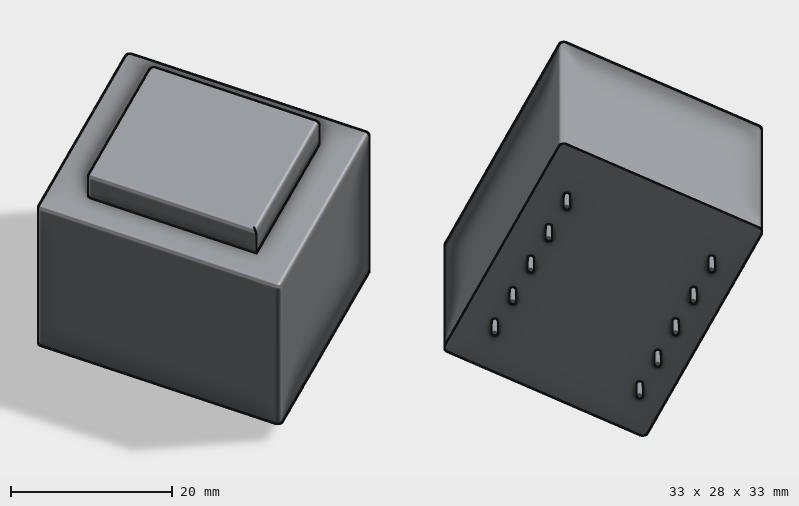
import cadquery as cq


total_height = 33.0
housing_length = 33.0
housing_width = 28.02
cap_length = 23.0
cap_width = 20.0
cap_height = 4.0
edge_radius = 0.7

pin_diameter = 0.8
pin_length = 3.0
pins_per_row = 5
row_length = 20.0
row_spacing = 20.0
pin_tip_radius = 0.1

housing_height = total_height - cap_height - pin_length
pin_pitch = row_length / (pins_per_row - 1)
pin_overlap = pin_diameter


def make_housing():
    """Block with rounded upright and top edges and a sharp-edged flat base."""
    block = cq.Workplane("XY").box(
        housing_length, housing_width, housing_height, centered=(True, True, False)
    )
    return block.edges("|Z or >Z").fillet(edge_radius)


def make_cap():
    """Raised cap whose upright edge at the +X, -Y corner is left sharp."""
    block = (
        cq.Workplane("XY")
        .workplane(offset=housing_height)
        .box(cap_length, cap_width, cap_height, centered=(True, True, False))
    )
    sharp_upright = cq.selectors.NearestToPointSelector(
        (cap_length / 2, -cap_width / 2, housing_height + cap_height / 2)
    )
    rounded_edges = cq.selectors.SubtractSelector(
        cq.selectors.StringSyntaxSelector("|Z or >Z"), sharp_upright
    )
    return block.edges(rounded_edges).fillet(edge_radius)


def make_pins():
    """Round pins with softened tips, in two equal rows below the housing."""
    return (
        cq.Workplane("XY")
        .workplane(offset=-pin_length)
        .rarray(pin_pitch, row_spacing, pins_per_row, 2)
        .circle(pin_diameter / 2)
        .extrude(pin_length + pin_overlap)
        .edges("<Z")
        .fillet(pin_tip_radius)
    )


result = make_housing().union(make_cap()).union(make_pins())